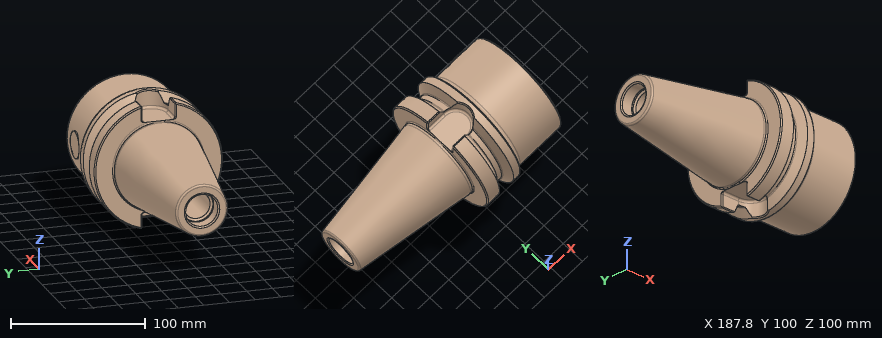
import cadquery as cq
import math


cut_clearance = 1.0
tolerance = 0.01

gauge_radius = 34.925
taper_length = 101.8
taper_slope = 7 / 48
taper_end_radius = gauge_radius - taper_length * taper_slope
taper_end_fillet = 1.5
neck_fillet = 1.0

flange_radius = 50.0
flange_start = 3.0
flange_end = 38.0
flange_chamfer = 1.0
groove_center = 23.0
groove_radius = 42.3
groove_half_width = 7.35
groove_flank_angle = math.radians(30)
groove_floor_fillet = 1.0

head_radius = 45.0
head_end = 86.0
head_fillet = flange_radius - flange_chamfer - head_radius
head_chamfer = 1.0

bore_radius = 10.4
seat_radius = 12.5
seat_mouth_radius = 13.8
seat_mouth_depth = 0.75
seat_depth = 10.5
relief_radius = 12.25
relief_length = 1.3
bore_cone_length = 1.1

slot_width = 25.7
slot_floor_height = 35.4
slot_floor_fillet = 1.9
slot_arc_center = 20.0
slot_chamfer = 0.9

screw_radius = 10.5
screw_to_head_end = 19.2
screw_length = 22.0
screw_outer_end = 44.8
screw_x = head_end - screw_to_head_end


def make_outer_body():
    """Solid of revolution about X, before the groove, bore, slots and screw hole are cut."""
    profile = (
        cq.Workplane("XZ")
        .moveTo(-taper_length, 0)
        .lineTo(-taper_length, taper_end_radius)
        .lineTo(0, gauge_radius)
        .lineTo(flange_start - neck_fillet, gauge_radius)
        .radiusArc((flange_start, gauge_radius + neck_fillet), -neck_fillet)
        .lineTo(flange_start, flange_radius - flange_chamfer)
        .lineTo(flange_start + flange_chamfer, flange_radius)
        .lineTo(flange_end - flange_chamfer, flange_radius)
        .lineTo(flange_end, flange_radius - flange_chamfer)
        .radiusArc((flange_end + head_fillet, head_radius), -head_fillet)
        .lineTo(head_end - head_chamfer, head_radius)
        .lineTo(head_end, head_radius - head_chamfer)
        .lineTo(head_end, 0)
        .close()
    )
    body = profile.revolve(360, (0, 0, 0), (1, 0, 0))
    return body.faces("<X").edges().fillet(taper_end_fillet)


def make_groove():
    """Ring that cuts the V-groove with its rounded floor corners."""
    rim_radius = flange_radius + cut_clearance
    flank_rate = math.tan(groove_flank_angle)
    rim_half_width = groove_half_width + (rim_radius - flange_radius) * flank_rate
    floor_half_width = groove_half_width - (flange_radius - groove_radius) * flank_rate
    ring = (
        cq.Workplane("XZ")
        .moveTo(groove_center - rim_half_width, rim_radius)
        .lineTo(groove_center - floor_half_width, groove_radius)
        .lineTo(groove_center + floor_half_width, groove_radius)
        .lineTo(groove_center + rim_half_width, rim_radius)
        .close()
        .revolve(360, (0, 0, 0), (1, 0, 0))
    )
    floor_edges = ring.edges(cq.selectors.RadiusNthSelector(0))
    return floor_edges.fillet(groove_floor_fillet)


def make_bore():
    """Through bore with the cone-bottomed pull stud seat and its mouth chamfer."""
    mouth = -taper_length
    seat_end = mouth + seat_depth
    relief_end = seat_end + relief_length
    return (
        cq.Workplane("XZ")
        .moveTo(mouth, 0)
        .lineTo(mouth, seat_mouth_radius)
        .lineTo(mouth + seat_mouth_depth, seat_radius)
        .lineTo(seat_end, seat_radius)
        .lineTo(seat_end, relief_radius)
        .lineTo(relief_end, relief_radius)
        .lineTo(relief_end + bore_cone_length, bore_radius)
        .lineTo(head_end, bore_radius)
        .lineTo(head_end, 0)
        .close()
        .revolve(360, (0, 0, 0), (1, 0, 0))
    )


def make_slot():
    """Driving slot at +Z with a flared front, a round end and rounded floor corners."""
    half_width = slot_width / 2
    flare_end = flange_start + slot_chamfer
    front_half_width = half_width + flare_end
    slot = (
        cq.Workplane("XY", origin=(0, 0, slot_floor_height))
        .moveTo(0, -front_half_width)
        .lineTo(flare_end, -half_width)
        .lineTo(slot_arc_center, -half_width)
        .threePointArc((slot_arc_center + half_width, 0), (slot_arc_center, half_width))
        .lineTo(flare_end, half_width)
        .lineTo(0, front_half_width)
        .close()
        .extrude(flange_radius + cut_clearance - slot_floor_height)
    )
    floor_edges = slot.faces("<Z").edges("not <X")
    return floor_edges.fillet(slot_floor_fillet)


def is_slot_rim(edge):
    """True for an edge where the +Z slot meets the outer rim of either half of the flange."""
    box = edge.BoundingBox()
    inside_slot = max(-box.ymin, box.ymax) < slot_width / 2 + tolerance
    before_back = box.xmax < flange_end - flange_chamfer - tolerance
    rim_height = math.sqrt(flange_radius**2 - (slot_width / 2) ** 2)
    return inside_slot and before_back and box.zmin > rim_height - tolerance


def chamfer_slot_rims(body):
    """Body with the rims of the +Z slot broken."""
    rims = [edge for edge in body.edges().vals() if is_slot_rim(edge)]
    return body.newObject(rims).chamfer(slot_chamfer)


def half_turn(body):
    """Body turned half around X, which swaps +Z and -Z."""
    return body.rotate((0, 0, 0), (1, 0, 0), 180)


def make_screw():
    """Plain cylinder of the locking screw."""
    start = cq.Workplane("XZ", origin=(screw_x, screw_outer_end, 0))
    return start.circle(screw_radius).extrude(screw_length)


def make_screw_hole():
    """Flat-bottomed radial hole for the screw, open at the surface of the head."""
    start = cq.Workplane("XZ", origin=(screw_x, screw_outer_end - screw_length, 0))
    return start.circle(screw_radius).extrude(screw_outer_end - screw_length - flange_radius)


def make_holder():
    """Taper, flange and head in one piece."""
    holder = make_outer_body().cut(make_groove()).cut(make_bore())
    for _ in range(2):
        holder = half_turn(chamfer_slot_rims(holder.cut(make_slot())))
    return holder.cut(make_screw_hole())


holder = make_holder()
screw = make_screw()

result = cq.Compound.makeCompound([holder.val(), screw.val()])